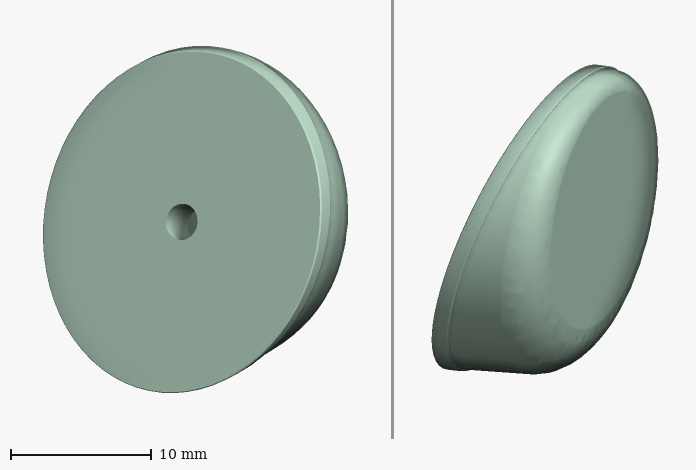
import cadquery as cq
import math

rim_radius = 11.38
rim_thickness = 1.27
rim_chamfer = 0.1
front_centre_y = -1.36
front_tilt = 21.8

hole_diameter = 2.6
hole_depth = 3.12

body_inset = 0.14
wall_top = (4.5, 11.22)
wall_bottom = (0.75, -11.0)
corner_top = (5.98, 11.12)
corner_bottom = (4.0, -10.85)
back_top = (5.87, 9.8)
back_bottom = (4.32, -7.37)

wall_half_width = 11.05
corner_half_width = 10.95
back_half_width = 8.53
rounding_steps = 6

tilt_slope = math.tan(math.radians(front_tilt))


def section(top, bottom, half_width):
    """Ellipse through two points of the symmetry plane, with the given half width along X."""
    rise_y = top[0] - bottom[0]
    rise_z = top[1] - bottom[1]
    centre = cq.Vector(0, (top[0] + bottom[0]) / 2, (top[1] + bottom[1]) / 2)
    normal = cq.Vector(0, rise_z, -rise_y)
    half_height = math.hypot(rise_y, rise_z) / 2
    long_side = max(half_height, half_width)
    short_side = min(half_height, half_width)
    long_axis = cq.Vector(0, rise_y, rise_z)
    edge = cq.Edge.makeEllipse(long_side, short_side, centre, normal, long_axis)
    return cq.Wire.assembleEdges([edge])


def rounded(wall, corner, back, angle):
    """Value on a quarter ellipse that runs from wall to back, tangent to the lines to the corner."""
    return corner + (wall - corner) * (1 - math.sin(angle)) + (back - corner) * (1 - math.cos(angle))


def rounded_point(wall, corner, back, angle):
    return tuple(rounded(w, c, b, angle) for w, c, b in zip(wall, corner, back))


def slope_point(y_offset, z):
    """Point (y, z) on the front slope, moved back by y_offset."""
    return (front_centre_y + y_offset + z * tilt_slope, z)


def make_rim():
    front_low = slope_point(0, -rim_radius)
    front_high = slope_point(0, rim_radius)
    rear_high = slope_point(rim_thickness, rim_radius)
    rear_low = slope_point(rim_thickness, -rim_radius)
    slab = (
        cq.Workplane("YZ")
        .polyline([front_low, front_high, rear_high, rear_low])
        .close()
        .extrude(rim_radius, both=True)
    )
    cylinder = cq.Workplane("XZ").circle(rim_radius).extrude(2 * rim_radius, both=True)
    return slab.intersect(cylinder).faces("%PLANE").edges().chamfer(rim_chamfer)


def make_body():
    seam_radius = rim_radius - body_inset
    seam = section(
        slope_point(rim_thickness, seam_radius),
        slope_point(rim_thickness, -seam_radius),
        seam_radius,
    )
    wall_end = section(wall_top, wall_bottom, wall_half_width)
    wall = cq.Solid.makeLoft([seam, wall_end], True)

    sections = []
    for step in range(rounding_steps + 1):
        angle = math.pi / 2 * step / rounding_steps
        top = rounded_point(wall_top, corner_top, back_top, angle)
        bottom = rounded_point(wall_bottom, corner_bottom, back_bottom, angle)
        half_width = rounded(wall_half_width, corner_half_width, back_half_width, angle)
        sections.append(section(top, bottom, half_width))
    back = cq.Solid.makeLoft(sections)
    return cq.Workplane(wall).union(cq.Workplane(back))


def make_hole():
    plane = cq.Plane(
        origin=(0, front_centre_y, 0),
        xDir=(1, 0, 0),
        normal=(0, 1, -tilt_slope),
    )
    return cq.Workplane(plane).circle(hole_diameter / 2).extrude(hole_depth)


result = make_rim().union(make_body()).cut(make_hole())